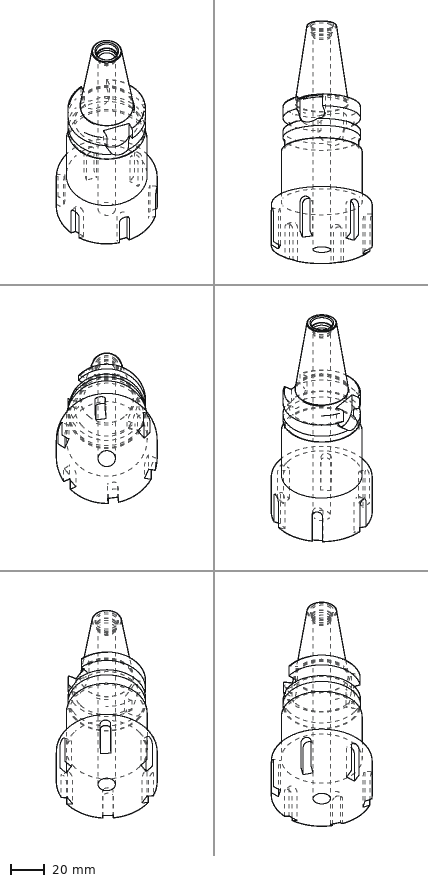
import cadquery as cq
import math


total_height = 140.4
gauge_height = 92.0
flange_top = 90.0
flange_bottom = 69.9
body_top = 62.2
nut_top = 29.9

gauge_radius = 15.9
taper_slope = 7 / 48
tip_chamfer = 0.4
neck_depth = 0.3
neck_chamfer = 0.5
neck_fillet = 0.8

flange_radius = 23.0
flange_rim_fillet = 0.8
v_floor_radius = 19.2
v_upper_edge = 82.3
v_lower_edge = 74.3
v_side_angle = 30
v_upper_fillet = 1.1
v_lower_fillet = 0.5

groove_radius = 22.0
groove_upper_fillet = 0.91
groove_lower_fillet = 0.7
body_radius = 24.0
body_rim_fillet = 0.8

nut_radius = 60.0 / 2
nut_top_fillet = 2.0
nut_chamfer_width = 3.8
nut_chamfer_angle = 30
nut_rim_fillet = 0.8
nut_face_fillet = 2.1

slot_count = 6
slot_width = 6.2
slot_floor_radius = 25.5
slot_top = 23.9

drive_count = 2
drive_width = 16.1
drive_floor = 16.3
drive_bottom = 72.6

bore_radius = 10.2 / 2
counterbore_radius = 6.3
counterbore_depth = 4.2
step_radius = 5.9
step_depth = 1.7
mouth_chamfer = 0.7
bore_cone_angle = 60

overlap = 1.4


def rise(width, angle):
    """Height gained by a slope of the given angle over a radial width."""
    return width * math.tan(math.radians(angle))


def ring_edges(solid, radius, height):
    """Circular edge of the given radius at the given height."""
    tolerance = 0.01
    return solid.edges("%CIRCLE").filter(
        lambda edge: abs(edge.radius() - radius) < tolerance
        and abs(edge.Center().z - height) < tolerance
    )


tip_radius = gauge_radius - taper_slope * (total_height - gauge_height)
neck_radius = gauge_radius - neck_depth
v_rise = rise(flange_radius - v_floor_radius, v_side_angle)
v_floor_top = v_upper_edge - v_rise
v_floor_bottom = v_lower_edge + v_rise
nut_chamfer_height = rise(nut_chamfer_width, nut_chamfer_angle)

outline = [
    (0, 0),
    (nut_radius - nut_chamfer_width, 0),
    (nut_radius, nut_chamfer_height),
    (nut_radius, nut_top),
    (body_radius, nut_top),
    (body_radius, body_top),
    (groove_radius, body_top),
    (groove_radius, flange_bottom),
    (flange_radius, flange_bottom),
    (flange_radius, v_lower_edge),
    (v_floor_radius, v_floor_bottom),
    (v_floor_radius, v_floor_top),
    (flange_radius, v_upper_edge),
    (flange_radius, flange_top),
    (neck_radius, flange_top),
    (neck_radius, gauge_height - neck_chamfer),
    (gauge_radius, gauge_height),
    (tip_radius, total_height),
    (0, total_height),
]
result = cq.Workplane("XZ").polyline(outline).close().revolve(360, (0, 0, 0), (0, 1, 0))

ring_fillets = [
    (nut_radius - nut_chamfer_width, 0, nut_face_fillet),
    (nut_radius, nut_chamfer_height, nut_rim_fillet),
    (nut_radius, nut_top, nut_top_fillet),
    (body_radius, body_top, body_rim_fillet),
    (groove_radius, body_top, groove_lower_fillet),
    (groove_radius, flange_bottom, groove_upper_fillet),
    (v_floor_radius, v_floor_bottom, v_lower_fillet),
    (v_floor_radius, v_floor_top, v_upper_fillet),
    (flange_radius, flange_top, flange_rim_fillet),
    (neck_radius, flange_top, neck_fillet),
]
for edge_radius, edge_height, fillet_radius in ring_fillets:
    result = ring_edges(result, edge_radius, edge_height).fillet(fillet_radius)
result = ring_edges(result, tip_radius, total_height).chamfer(tip_chamfer)

counterbore_floor = total_height - counterbore_depth
cone_top = counterbore_floor - step_depth
cone_bottom = cone_top - rise(step_radius - bore_radius, bore_cone_angle)
bore_outline = [
    (0, 0),
    (bore_radius, 0),
    (bore_radius, cone_bottom),
    (step_radius, cone_top),
    (step_radius, counterbore_floor),
    (counterbore_radius, counterbore_floor),
    (counterbore_radius, total_height - mouth_chamfer),
    (counterbore_radius + mouth_chamfer, total_height),
    (0, total_height),
]
bore = cq.Workplane("XZ").polyline(bore_outline).close().revolve(360, (0, 0, 0), (0, 1, 0))
result = result.cut(bore)


def round_ended_cutter(width, floor, depth, round_end, open_end):
    """Radial cutter towards +X: straight at open_end, a half circle reaching round_end."""
    half_width = width / 2
    toward_open = math.copysign(half_width, open_end - round_end)
    straight_end = round_end + toward_open
    return (
        cq.Workplane("YZ", origin=(floor, 0, 0))
        .moveTo(-half_width, open_end)
        .lineTo(-half_width, straight_end)
        .threePointArc((0, round_end), (half_width, straight_end))
        .lineTo(half_width, open_end)
        .close()
        .extrude(depth)
    )


def cut_around_axis(solid, cutter, count):
    """Cut equally spaced copies of the cutter, starting at +X."""
    for index in range(count):
        solid = solid.cut(cutter.rotate((0, 0, 0), (0, 0, 1), index * 360 / count))
    return solid


spanner_slot = round_ended_cutter(
    slot_width, slot_floor_radius, nut_radius - slot_floor_radius + overlap, slot_top, -overlap
)
result = cut_around_axis(result, spanner_slot, slot_count)

drive_slot = round_ended_cutter(
    drive_width, drive_floor, flange_radius - drive_floor + overlap, drive_bottom, flange_top + overlap
)
result = cut_around_axis(result, drive_slot, drive_count)